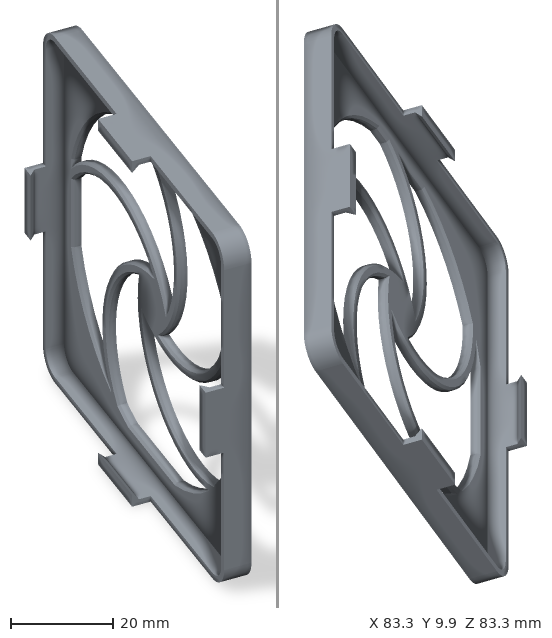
import cadquery as cq
import math

side = 83.3
corner_radius = 5.5
wall = 1.3
frame_depth = 5.9
plate_thickness = 2.0

hook_width = 15.7
hook_reach = 4.0
hook_overhang = 1.5

opening_radius = 38.1
opening_half_width = 36.6

rib_count = 5
rib_outer_radius = 26.8
rib_width = 2.5
rib_centre_distance = 20.1
rib_centre_angle = 208.5

bevel = 0.5

half_side = side / 2
rib_inner_radius = rib_outer_radius - rib_width
rim_y = -frame_depth / 2
back_y = frame_depth / 2
plate_y = back_y - plate_thickness
bevel_end_y = plate_y + bevel


def plane_at(y):
    """XZ sketch plane at y whose normal points to +Y; sketch x is X and sketch y is -Z."""
    return cq.Plane(origin=(0, y, 0), xDir=(1, 0, 0), normal=(0, 1, 0))


def block(width, start_y, end_y):
    return cq.Workplane(plane_at(start_y)).rect(width, width).extrude(end_y - start_y)


def bevelled_disc(radius, growth, x=0, z=0):
    """Disc through the plate whose radius changes by growth across the bevel."""
    profile = [
        (0, plate_y),
        (radius + growth, plate_y),
        (radius, bevel_end_y),
        (radius, back_y),
        (0, back_y),
    ]
    disc = cq.Workplane("XY").polyline(profile).close().revolve(360, (0, 0, 0), (0, 1, 0))
    return disc.translate((x, 0, z))


def rib_centre(index):
    angle = math.radians(rib_centre_angle + index * 360 / rib_count)
    return rib_centre_distance * math.cos(angle), rib_centre_distance * math.sin(angle)


def air_opening():
    flats = block(2 * opening_half_width, bevel_end_y, back_y)
    bevelled_flats = (
        cq.Workplane(plane_at(plate_y))
        .rect(2 * (opening_half_width + bevel), 2 * (opening_half_width + bevel))
        .workplane(offset=bevel)
        .rect(2 * opening_half_width, 2 * opening_half_width)
        .loft(ruled=True)
    )
    return bevelled_disc(opening_radius, bevel).intersect(flats.union(bevelled_flats))


def window(index, opening):
    """Part of the opening between the inside of one rib and the outside of the next."""
    inside_rib = bevelled_disc(rib_inner_radius, bevel, *rib_centre(index))
    next_rib = bevelled_disc(rib_outer_radius, -bevel, *rib_centre(index + 1))
    return opening.intersect(inside_rib).cut(next_rib)


def tray():
    inner_side = side - 2 * wall
    outer = block(side, rim_y, back_y).edges("|Y").fillet(corner_radius)
    cavity = block(inner_side, rim_y, plate_y).edges("|Y").fillet(corner_radius - wall)
    return outer.cut(cavity)


def top_hook():
    """Tongue continuing the top wall, with a 45 degree catch at its tip."""
    tip_y = rim_y - hook_reach
    inner_z = half_side - wall
    profile = [
        (rim_y, half_side),
        (tip_y, half_side),
        (tip_y, inner_z - hook_overhang),
        (tip_y + hook_overhang, inner_z),
        (rim_y, inner_z),
    ]
    return cq.Workplane("YZ").polyline(profile).close().extrude(hook_width / 2, both=True)


result = tray()

opening = air_opening()
for index in range(rib_count):
    result = result.cut(window(index, opening))

hook = top_hook()
for quarter in range(4):
    result = result.union(hook.rotate((0, 0, 0), (0, 1, 0), 90 * quarter))